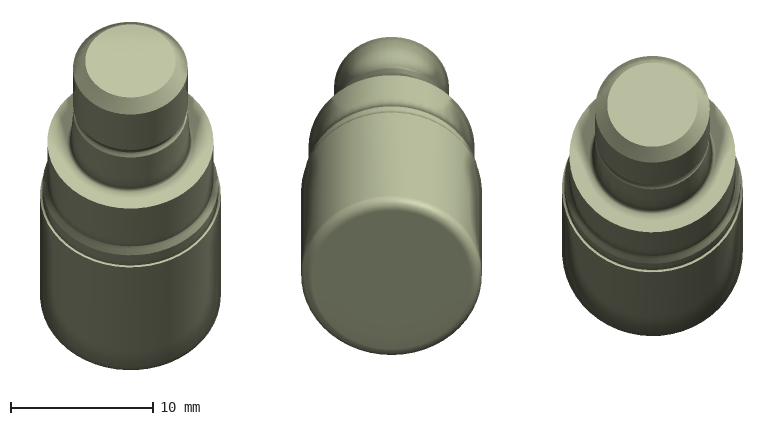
import cadquery as cq

total_height = 28.6
base_height = 12.73

base_radius = 6.35
base_fillet = 0.75

flange_radius = 6.18
flange_height = 1.2
collar_radius = 5.83
shoulder_height = 0.6
collar_height = 4.5

neck_foot_radius = 4.2
neck_top_radius = 4.0
neck_height = 3.58
foot_flare = 0.23

groove_radius = 3.78
groove_lower_slope = 0.3
groove_floor_height = 0.23
groove_upper_slope = 0.43
head_radius = 4.03
head_chamfer = 0.85

flange_top = base_height + flange_height
collar_bottom = flange_top + shoulder_height
collar_top = collar_bottom + collar_height
neck_top = collar_top + neck_height
groove_floor_bottom = neck_top + groove_lower_slope
groove_floor_top = groove_floor_bottom + groove_floor_height
head_bottom = groove_floor_top + groove_upper_slope


def make_base():
    """Plain cylinder with a rounded bottom edge."""
    return cq.Workplane("XY").circle(base_radius).extrude(base_height).faces("<Z").edges().fillet(base_fillet)


def make_stud():
    """Turned stud standing on the base, revolved from its half profile."""
    profile = (
        cq.Workplane("XZ")
        .moveTo(0, base_height)
        .lineTo(flange_radius, base_height)
        .lineTo(flange_radius, flange_top)
        .lineTo(collar_radius, collar_bottom)
        .lineTo(collar_radius, collar_top)
        .lineTo(neck_foot_radius + foot_flare, collar_top)
        .radiusArc((neck_foot_radius, collar_top + foot_flare), foot_flare)
        .lineTo(neck_top_radius, neck_top)
        .lineTo(groove_radius, groove_floor_bottom)
        .lineTo(groove_radius, groove_floor_top)
        .lineTo(head_radius, head_bottom)
        .lineTo(head_radius, total_height - head_chamfer)
        .lineTo(head_radius - head_chamfer, total_height)
        .lineTo(0, total_height)
        .close()
    )
    return profile.revolve(360, (0, 0, 0), (0, 1, 0))


base = make_base()
stud = make_stud()

result = cq.Compound.makeCompound([base.val(), stud.val()])